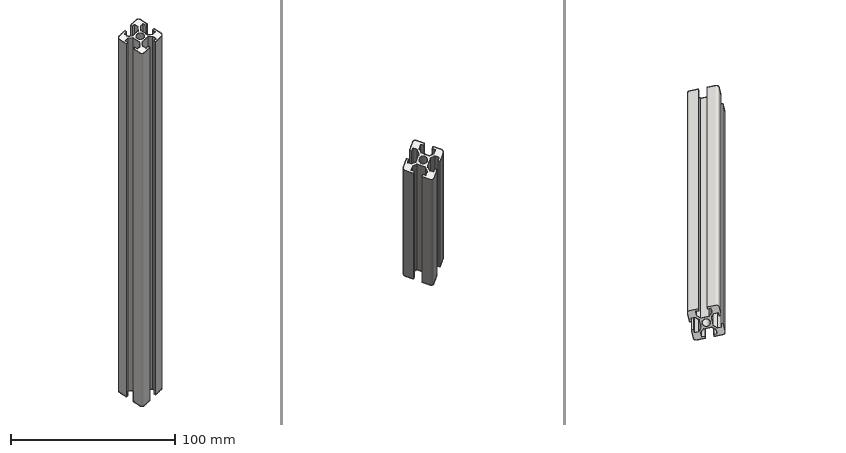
import cadquery as cq

LENGTH = 355.0
SIDE = 20.0
CORNER_RADIUS = 1.8

SLOT_OPENING = 5.5
LIP_THICKNESS = 1.5
CAVITY_WIDTH = 9.5
CORE_WIDTH = 7.5
WEB_OFFSET = 1.0
BORE_DIAMETER = 5.0

half_side = SIDE / 2
half_opening = SLOT_OPENING / 2
half_cavity = CAVITY_WIDTH / 2
half_core = CORE_WIDTH / 2
lip_inner = half_side - LIP_THICKNESS


def make_slot():
    """T-slot open to +Y, with 45 degree flanks along the diagonal webs."""
    right_side = [
        (half_opening, half_side),
        (half_opening, lip_inner),
        (half_cavity, lip_inner),
        (half_cavity, half_cavity + WEB_OFFSET),
        (half_core - WEB_OFFSET, half_core),
    ]
    left_side = [(-x, y) for x, y in reversed(right_side)]
    return cq.Workplane("XY").polyline(right_side + left_side).close().extrude(LENGTH)


result = cq.Workplane("XY").rect(SIDE, SIDE).extrude(LENGTH)
result = result.edges("|Z").fillet(CORNER_RADIUS)

slot = make_slot()
for angle in (0, 90, 180, 270):
    result = result.cut(slot.rotate((0, 0, 0), (0, 0, 1), angle))

bore = cq.Workplane("XY").circle(BORE_DIAMETER / 2).extrude(LENGTH)
result = result.cut(bore)